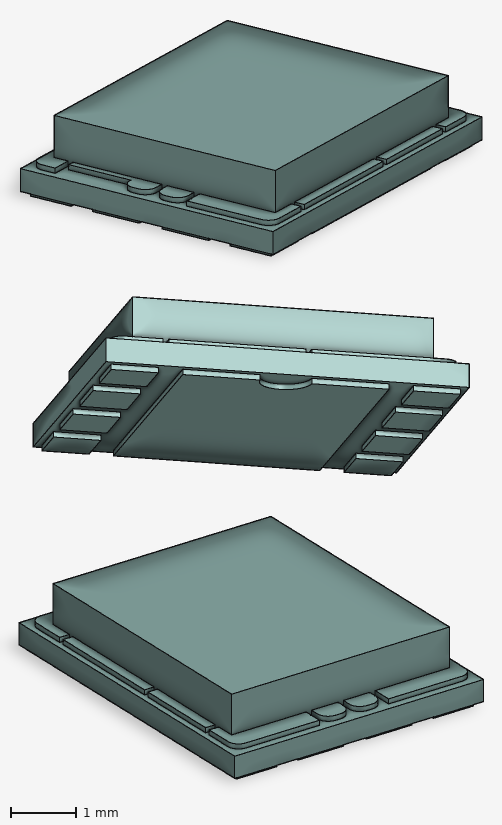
import cadquery as cq

board_x = 4.68
board_y = 5.75
board_height = 0.38
pad_height = 0.085
total_height = 1.25
board_bottom = pad_height
board_top = board_bottom + board_height

cover_x = 4.1
cover_y = 4.76

pad_edge_x = 2.23
pad_edge_y = 2.735
corner_radius = 0.2
cover_overlap = 0.29
pad_inner_x = cover_x / 2 - cover_overlap
pad_inner_y = cover_y / 2 - cover_overlap
pad_gap = 0.09
end_pad_inner_x = 0.65
round_pad_width = 0.495
round_pad_gap = 0.105
round_pad_start = round_pad_gap / 2
round_pad_end = round_pad_start + round_pad_width
left_upper_gap_y = 1.9
left_lower_gap_y = -0.36
right_gaps_y = (1.99, 0.36, -1.9)
corner_pad_end_x = -1.79
trace_edge_y = -2.5
trace_start_x = corner_pad_end_x + pad_gap

bottom_inset = 0.11
bottom_edge_x = board_x / 2 - bottom_inset
bottom_edge_y = board_y / 2 - bottom_inset
row_pad_length = 0.75
outer_row_pad_width = 0.76
inner_row_pad_width = 0.86
inner_row_pad_gap = 0.425
centre_pad_length = 3.265
notch_radius = 0.41


def block(x_start, x_end, y_start, y_end, z_start, z_end):
    """Rectangular block between the given limits."""
    size = (x_end - x_start, y_end - y_start, z_end - z_start)
    return cq.Workplane("XY").box(*size, centered=False).translate((x_start, y_start, z_start))


def top_pad(x_start, x_end, y_start, y_end):
    """Square-cornered pad on top of the board."""
    return block(x_start, x_end, y_start, y_end, board_top, board_top + pad_height)


def corner_pad(x_start, x_end, y_start, y_end, x_side, y_side):
    """Top pad with its outer corner rounded; the sides are "<" or ">"."""
    pad = top_pad(x_start, x_end, y_start, y_end)
    return pad.faces(x_side + "X").edges("|Z").edges(y_side + "Y").fillet(corner_radius)


def round_pad(x_start, y_start, y_end, y_side):
    """Top pad with both corners of its outer end rounded."""
    pad = top_pad(x_start, x_start + round_pad_width, y_start, y_end)
    return pad.faces(y_side + "Y").edges("|Z").fillet(corner_radius)


def corner_pads():
    half_gap = pad_gap / 2
    right_upper_y = right_gaps_y[0] + half_gap
    right_lower_y = right_gaps_y[-1] - half_gap
    return [
        corner_pad(-pad_edge_x, -end_pad_inner_x, left_upper_gap_y + half_gap, pad_edge_y, "<", ">"),
        corner_pad(-pad_edge_x, corner_pad_end_x, -pad_edge_y, left_lower_gap_y - half_gap, "<", "<"),
        corner_pad(end_pad_inner_x, pad_edge_x, right_upper_y, pad_edge_y, ">", ">"),
        corner_pad(end_pad_inner_x, pad_edge_x, -pad_edge_y, right_lower_y, ">", "<"),
    ]


def side_pads():
    half_gap = pad_gap / 2
    left_start_y = left_lower_gap_y + half_gap
    left_end_y = left_upper_gap_y - half_gap
    pads = [top_pad(-pad_edge_x, -pad_inner_x, left_start_y, left_end_y)]
    for upper_gap, lower_gap in zip(right_gaps_y, right_gaps_y[1:]):
        pads.append(top_pad(pad_inner_x, pad_edge_x, lower_gap + half_gap, upper_gap - half_gap))
    return pads


def round_pads():
    pads = []
    for x_start in (-round_pad_end, round_pad_start):
        pads.append(round_pad(x_start, pad_inner_y, pad_edge_y, ">"))
        pads.append(round_pad(x_start, -pad_edge_y, -pad_inner_y, "<"))
    return pads


def trace():
    """Strip running along the cover's -Y side into the round pad nearer -X."""
    trace_end_x = -round_pad_end + round_pad_width / 2
    return top_pad(trace_start_x, trace_end_x, trace_edge_y, -pad_inner_y)


def bottom_pads():
    """A row of four pads along each short edge and a notched pad between the rows."""
    inner_start = inner_row_pad_gap / 2
    outer_start = bottom_edge_x - outer_row_pad_width
    row_spans = [
        (-bottom_edge_x, -outer_start),
        (-inner_start - inner_row_pad_width, -inner_start),
        (inner_start, inner_start + inner_row_pad_width),
        (outer_start, bottom_edge_x),
    ]
    row_inner_y = bottom_edge_y - row_pad_length
    pads = []
    for x_start, x_end in row_spans:
        pads.append(block(x_start, x_end, row_inner_y, bottom_edge_y, 0, board_bottom))
        pads.append(block(x_start, x_end, -bottom_edge_y, -row_inner_y, 0, board_bottom))

    half_length = centre_pad_length / 2
    centre_pad = block(-bottom_edge_x, bottom_edge_x, -half_length, half_length, 0, board_bottom)
    notch = cq.Workplane("XY").center(-bottom_edge_x, 0).circle(notch_radius).extrude(board_bottom)
    pads.append(centre_pad.cut(notch))
    return pads


board = block(-board_x / 2, board_x / 2, -board_y / 2, board_y / 2, board_bottom, board_top)
cover = block(-cover_x / 2, cover_x / 2, -cover_y / 2, cover_y / 2, board_top, total_height)

result = board.union(cover)
for pad in corner_pads() + side_pads() + round_pads() + [trace()] + bottom_pads():
    result = result.union(pad)